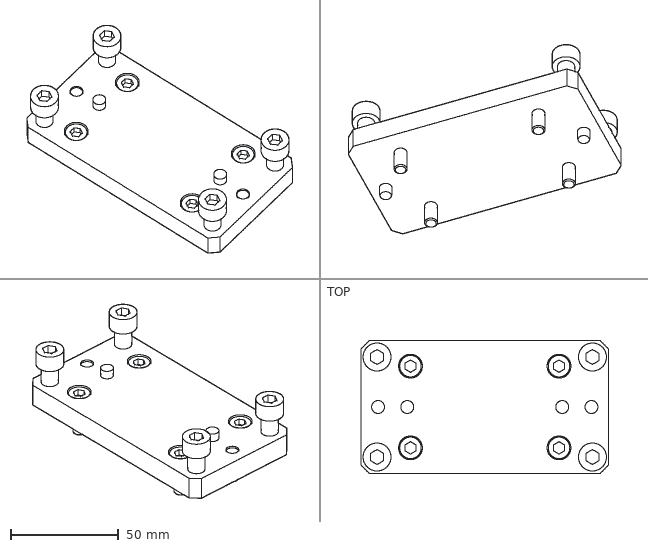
import cadquery as cq
import math

plate_length = 115.0
plate_width = 62.0
plate_height = 11.0
corner_chamfer = 4.0
embed_depth = 5.5

large_spacing_x = 100.0
large_spacing_y = 46.5
large_head_diameter = 13.0
large_head_height = 8.0
large_head_lift = 10.0
large_shank_diameter = 8.0
large_hex_flats = 6.0
large_hex_depth = 4.0

small_spacing_x = 69.0
small_spacing_y = 38.0
small_head_diameter = 10.0
small_head_height = 6.0
small_shank_diameter = 6.0
small_shank_length = 15.9
small_tip_chamfer = 0.6
small_hex_flats = 5.0
small_hex_depth = 3.0
counterbore_diameter = 11.0
counterbore_depth = 6.5

pin_diameter = 6.0
pin_dome_height = 0.9
inner_pin_spacing = 72.0
inner_pin_rise = 5.1
outer_pin_spacing = 99.1
outer_pin_drop = 5.1
outer_pin_taper_length = 1.4
outer_pin_taper_angle = 15.0


def grid(spacing_x, spacing_y):
    """Four points at the corners of a centred rectangle."""
    return [(x * spacing_x / 2, y * spacing_y / 2) for x in (-1, 1) for y in (-1, 1)]


def pair(spacing):
    """Two points mirrored about the centre along X."""
    return [(-spacing / 2, 0), (spacing / 2, 0)]


def place(body, points):
    """Copies of a body on the Z axis, moved to each point."""
    return [body.translate((x, y, 0)) for x, y in points]


def cylinder(diameter, bottom, top):
    """Round bar on the Z axis between two heights."""
    return cq.Workplane("XY").workplane(offset=bottom).circle(diameter / 2).extrude(top - bottom)


def hex_socket(flats, depth, top):
    """Hexagonal cutter with two corners pointing along Y."""
    corner_diameter = flats / math.cos(math.pi / 6)
    socket = cq.Workplane("XY").workplane(offset=top).polygon(6, corner_diameter).extrude(-depth)
    return socket.rotate((0, 0, 0), (0, 0, 1), 90)


def plate():
    """Plate with chamfered corners, its underside at Z = 0."""
    block = cq.Workplane("XY").box(plate_length, plate_width, plate_height, centered=(True, True, False))
    return block.edges("|Z").chamfer(corner_chamfer)


def large_screw():
    """Cap screw whose shank rises from the top of the plate."""
    head_bottom = plate_height + large_head_lift
    head_top = head_bottom + large_head_height
    shank = cylinder(large_shank_diameter, plate_height - embed_depth, head_bottom)
    head = cylinder(large_head_diameter, head_bottom, head_top)
    return shank.union(head).cut(hex_socket(large_hex_flats, large_hex_depth, head_top))


def small_screw():
    """Cap screw seated on the counterbore floor."""
    head_bottom = plate_height - counterbore_depth
    head_top = head_bottom + small_head_height
    shank = cylinder(small_shank_diameter, head_bottom - small_shank_length, head_bottom)
    shank = shank.faces("<Z").chamfer(small_tip_chamfer)
    head = cylinder(small_head_diameter, head_bottom, head_top)
    return shank.union(head).cut(hex_socket(small_hex_flats, small_hex_depth, head_top))


def domed_pin(bottom, apex, taper_length=0.0):
    """Dowel pin with a spherical top and an optional tapered lower end."""
    radius = pin_diameter / 2
    end_radius = radius - taper_length * math.tan(math.radians(outer_pin_taper_angle))
    shoulder = apex - pin_dome_height
    sphere_radius = (radius**2 + pin_dome_height**2) / (2 * pin_dome_height)
    half_angle = math.asin(radius / sphere_radius) / 2
    dome_mid = (
        sphere_radius * math.sin(half_angle),
        apex - sphere_radius * (1 - math.cos(half_angle)),
    )
    profile = cq.Workplane("XZ").moveTo(0, bottom).lineTo(end_radius, bottom)
    if taper_length > 0:
        profile = profile.lineTo(radius, bottom + taper_length)
    profile = profile.lineTo(radius, shoulder).threePointArc(dome_mid, (0, apex)).close()
    return profile.revolve(360, (0, 0, 0), (0, 1, 0))


counterbore = cylinder(counterbore_diameter, plate_height - counterbore_depth, plate_height)
outer_pin_bore = cylinder(pin_diameter, 0, plate_height)

inner_pin = domed_pin(plate_height - embed_depth, plate_height + inner_pin_rise)
outer_pin = domed_pin(-outer_pin_drop, plate_height, outer_pin_taper_length)

result = plate()
for cutter in place(counterbore, grid(small_spacing_x, small_spacing_y)):
    result = result.cut(cutter)
for cutter in place(outer_pin_bore, pair(outer_pin_spacing)):
    result = result.cut(cutter)

fasteners = (
    place(large_screw(), grid(large_spacing_x, large_spacing_y))
    + place(small_screw(), grid(small_spacing_x, small_spacing_y))
    + place(inner_pin, pair(inner_pin_spacing))
    + place(outer_pin, pair(outer_pin_spacing))
)
for fastener in fasteners:
    result = result.union(fastener)